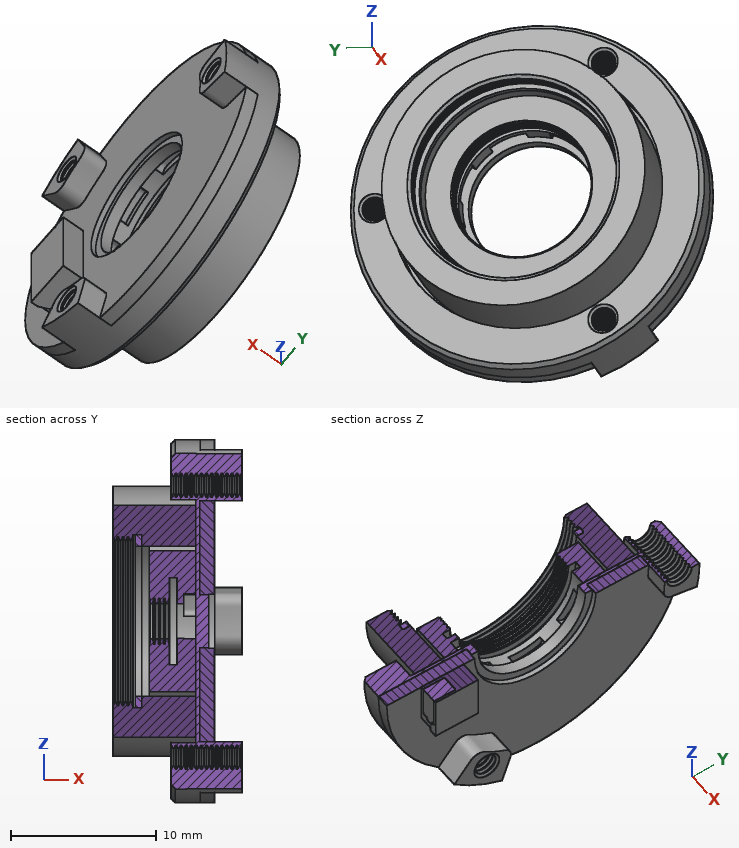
import cadquery as cq
import math


flange_diameter = 25.0
flange_front = 4.0
flange_chamfer = 0.3
recess_diameter = 19.2
web_front = 5.7
flange_back = 6.0
hub_diameter = 10.2
hub_back = 6.6
light_bore_diameter = 9.0
lug_count = 3
lug_half_angle = 10.7
lug_inner_radius = 9.55
lug_outer_radius = flange_diameter / 2 + 1.0
lug_corner_radius = 0.85
lug_back = 8.9
screw_circle_radius = 10.8
screw_major_diameter = 2.1
screw_minor_diameter = 1.68

board_back = flange_back + 1.0

barrel_diameter = 18.6
barrel_thread_major = 15.0
barrel_thread_minor = 14.5
spacer_diameter = 15.2
spacer_bore = 14.0
spacer_front = 1.54
spacer_back = 1.99

holder_diameter = 13.6
holder_front = 2.5
holder_thread_major = 10.0
holder_thread_minor = 9.6
holder_relief_diameter = 11.2
holder_seat = 4.4
holder_bore = 9.8

thread_pitch = 0.35
thread_flat = 0.05
barrel_thread_turns = 4
holder_thread_turns = 4

pocket_count = 7
pocket_diameter = 11.2
pocket_front = 4.88
pocket_angle = 31.6
pocket_corner_radius = 0.4
pocket_overcut = 0.5
first_pocket_angle = -31.6

connector_width = 7.0
connector_front = -9.6
connector_depth = 3.6
connector_back = board_back + 1.72
end_notch_width = 0.3
end_notch_top = board_back + 1.14
end_notch_step = board_back + 0.3
end_notch_deep = 1.03
end_notch_shallow = 0.38
slider_depth = connector_depth / 2
slider_low = board_back + 0.23
slider_high = board_back + 1.5
slider_width = 5.05
key_low = board_back + 0.68
key_high = board_back + 1.25
key_width = 5.5


def disc(diameter, start, end):
    """A solid cylinder on the lens axis from X = start to X = end."""
    return cq.Workplane("YZ", origin=(start, 0, 0)).circle(diameter / 2).extrude(end - start)


def ring(outer_diameter, inner_diameter, start, end):
    return disc(outer_diameter, start, end).cut(disc(inner_diameter, start, end))


def polar(radius, angle):
    """The (Y, Z) point at a radius and an angle in degrees measured from +Y."""
    return (radius * math.cos(math.radians(angle)), radius * math.sin(math.radians(angle)))


def sector(inner_radius, outer_radius, half_angle, start, end):
    """An annular sector centred on +Y, with radial sides."""
    return (
        cq.Workplane("YZ", origin=(start, 0, 0))
        .moveTo(*polar(inner_radius, -half_angle))
        .lineTo(*polar(outer_radius, -half_angle))
        .threePointArc(polar(outer_radius, 0), polar(outer_radius, half_angle))
        .lineTo(*polar(inner_radius, half_angle))
        .threePointArc(polar(inner_radius, 0), polar(inner_radius, -half_angle))
        .close()
        .extrude(end - start)
    )


def turned(body, angle):
    return body.rotate((0, 0, 0), (1, 0, 0), angle)


def threaded_bore(major_diameter, minor_diameter, start, turns):
    """The space inside an internal thread, opening at its full diameter at X = start."""
    major = major_diameter / 2
    minor = minor_diameter / 2
    outline = cq.Workplane("XY").moveTo(start, 0).lineTo(start, major)
    for turn in range(turns):
        root = start + turn * thread_pitch
        next_root = root + thread_pitch
        crest = root + thread_pitch / 2
        outline = (
            outline.lineTo(root + thread_flat / 2, major)
            .lineTo(crest - thread_flat / 2, minor)
            .lineTo(crest + thread_flat / 2, minor)
            .lineTo(next_root - thread_flat / 2, major)
        )
    end = start + turns * thread_pitch
    return outline.lineTo(end, major).lineTo(end, 0).close().revolve(360, (0, 0, 0), (1, 0, 0))


def lug_prisms(start):
    """The three lug outlines as prisms that reach past the rim, one on each screw hole."""
    blank = sector(lug_inner_radius, lug_outer_radius, lug_half_angle, start, lug_back)
    inner_corners = cq.selectors.BoxSelector(
        (start - 1, 0, -lug_inner_radius),
        (lug_back + 1, lug_inner_radius, lug_inner_radius),
    )
    prism = blank.edges("|X").edges(inner_corners).fillet(lug_corner_radius)
    return [turned(prism, index * 360 / lug_count) for index in range(lug_count)]


def lug_clearance(start):
    """Everything around the lugs from X = start to the lug ends."""
    space = disc(2 * lug_outer_radius, start, lug_back)
    for prism in lug_prisms(start):
        space = space.cut(prism)
    return space


def make_flange():
    body = disc(flange_diameter, flange_front, lug_back).faces("<X").chamfer(flange_chamfer)
    body = body.cut(lug_clearance(flange_back))
    body = body.union(disc(hub_diameter, web_front, hub_back))
    body = body.cut(disc(recess_diameter, flange_front, web_front))
    body = body.cut(disc(light_bore_diameter, web_front, hub_back))
    screw_turns = math.ceil((lug_back - flange_front) / thread_pitch)
    screw_hole = threaded_bore(screw_major_diameter, screw_minor_diameter, flange_front, screw_turns)
    screw_hole = screw_hole.translate((0, screw_circle_radius, 0))
    for index in range(lug_count):
        body = body.cut(turned(screw_hole, index * 360 / lug_count))
    return body


def make_board():
    body = ring(flange_diameter, hub_diameter, flange_back, board_back)
    for prism in lug_prisms(flange_back):
        body = body.cut(prism)
    return body


def make_barrel():
    thread_end = barrel_thread_turns * thread_pitch
    body = ring(barrel_diameter, spacer_bore, 0, web_front)
    body = body.cut(threaded_bore(barrel_thread_major, barrel_thread_minor, 0, barrel_thread_turns))
    return body.cut(disc(spacer_diameter, thread_end, spacer_back))


def make_spacer():
    return ring(spacer_diameter, spacer_bore, spacer_front, spacer_back)


def holder_pocket():
    """A pocket in the back of the holder, open to its bore, with rounded outer corners."""
    inner_radius = holder_bore / 2 - pocket_overcut
    outer_radius = pocket_diameter / 2
    blank = sector(inner_radius, outer_radius, pocket_angle / 2, pocket_front, web_front)
    depth_at_corner = outer_radius * math.cos(math.radians(pocket_angle / 2))
    outer_corners = cq.selectors.BoxSelector(
        (pocket_front - 1, depth_at_corner - pocket_corner_radius, -outer_radius),
        (web_front + 1, outer_radius, outer_radius),
    )
    return blank.edges("|X").edges(outer_corners).fillet(pocket_corner_radius)


def make_holder():
    thread_end = holder_front + holder_thread_turns * thread_pitch
    body = ring(holder_diameter, holder_bore, holder_front, web_front)
    body = body.cut(
        threaded_bore(holder_thread_major, holder_thread_minor, holder_front, holder_thread_turns)
    )
    body = body.cut(disc(holder_relief_diameter, thread_end, holder_seat))
    pocket = holder_pocket()
    for index in range(pocket_count):
        body = body.cut(turned(pocket, first_pocket_angle + index * 360 / pocket_count))
    return body


def make_slider():
    """A flat slider with a centred key on each end."""
    plate = cq.Workplane("XY").box(
        slider_high - slider_low, slider_depth, slider_width, centered=(False, False, True)
    )
    key = cq.Workplane("XY").box(
        key_high - key_low, slider_depth, key_width, centered=(False, False, True)
    )
    plate = plate.translate((slider_low, connector_front, 0))
    return plate.union(key.translate((key_low, connector_front, 0)))


def make_connector():
    body = cq.Workplane("XY").box(
        connector_back - board_back, connector_depth, connector_width, centered=(False, False, True)
    )
    body = body.translate((board_back, connector_front, 0)).cut(make_slider())
    end_notch = (
        cq.Workplane("XY", origin=(0, 0, connector_width / 2 - end_notch_width))
        .moveTo(board_back, connector_front)
        .lineTo(board_back, connector_front + end_notch_deep)
        .lineTo(end_notch_step, connector_front + end_notch_deep)
        .lineTo(end_notch_step, connector_front + end_notch_shallow)
        .lineTo(end_notch_top, connector_front)
        .close()
        .extrude(end_notch_width)
    )
    return body.cut(end_notch).cut(end_notch.mirror("XY"))


flange = make_flange()
board = make_board()
barrel = make_barrel()
spacer = make_spacer()
holder = make_holder()
connector = make_connector()
slider = make_slider()

result = cq.Compound.makeCompound([
    flange.val(),
    board.val(),
    barrel.val(),
    spacer.val(),
    holder.val(),
    connector.val(),
    slider.val(),
])